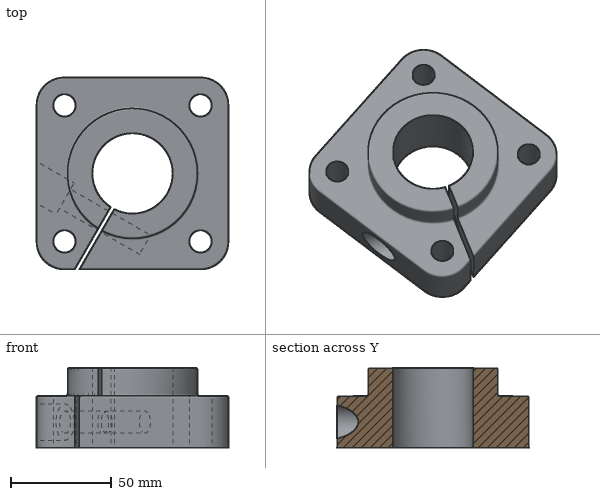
import cadquery as cq
import math

side = 96.0
flange_height = 26.0
corner_radius = 14.0
edge_round = 1.0

total_height = 40.0
boss_diameter = 65.0
bore_diameter = 40.0

mount_hole_diameter = 11.0
mount_hole_spacing = 68.0

slit_width = 2.0
slit_angle = 30.0
slit_length = side

screw_radial_offset = 27.7
screw_height = flange_height / 2
screw_hole_diameter = 11.0
head_diameter = 18.0
head_seat_distance = 23.0
screw_blind_depth = 23.0

slit_radians = math.radians(slit_angle)
slit_direction = cq.Vector(-math.sin(slit_radians), -math.cos(slit_radians), 0)
screw_direction = cq.Vector(math.cos(slit_radians), -math.sin(slit_radians), 0)
screw_centre = slit_direction * screw_radial_offset + cq.Vector(0, 0, screw_height)


def make_body():
    """Flange with rounded top edges, and a boss blended into it."""
    flange = (
        cq.Workplane("XY")
        .rect(side, side)
        .extrude(flange_height)
        .edges("|Z")
        .fillet(corner_radius)
        .faces(">Z")
        .edges()
        .fillet(edge_round)
    )
    boss = cq.Workplane("XY").circle(boss_diameter / 2).extrude(total_height)
    boss = boss.faces(">Z").edges().fillet(edge_round)
    body = flange.union(boss)
    foot_zone = cq.selectors.BoxSelector(
        (-boss_diameter / 2, -boss_diameter / 2, flange_height - edge_round / 2),
        (boss_diameter / 2, boss_diameter / 2, flange_height + edge_round / 2),
    )
    return body.edges(foot_zone).fillet(edge_round)


def screw_cylinder(diameter, start, end):
    """Cylinder on the screw axis; start and end are measured from the slit plane."""
    base = screw_centre + screw_direction * start
    return cq.Solid.makeCylinder(diameter / 2, end - start, base, screw_direction)


def make_slit():
    """Slit cut from the bore axis out through the flange edge."""
    slit = cq.Workplane("XY").box(slit_width, slit_length, total_height, centered=(True, False, False))
    return slit.rotate((0, 0, 0), (0, 0, 1), 180 - slit_angle)


bore = cq.Workplane("XY").circle(bore_diameter / 2).extrude(total_height)
mount_holes = (
    cq.Workplane("XY")
    .rect(mount_hole_spacing, mount_hole_spacing, forConstruction=True)
    .vertices()
    .circle(mount_hole_diameter / 2)
    .extrude(total_height)
)
screw_hole = screw_cylinder(screw_hole_diameter, -head_seat_distance, screw_blind_depth)
head_counterbore = screw_cylinder(head_diameter, -side, -head_seat_distance)

result = (
    make_body()
    .cut(bore)
    .cut(mount_holes)
    .cut(make_slit())
    .cut(screw_hole)
    .cut(head_counterbore)
)